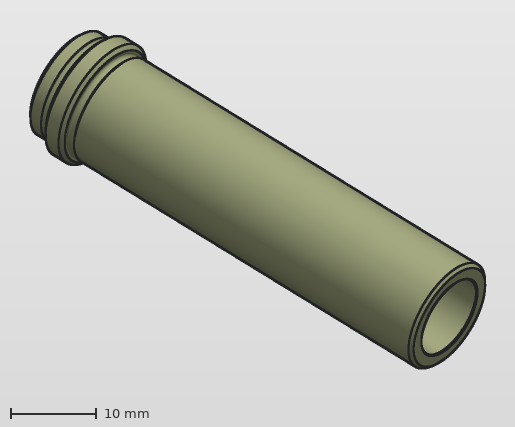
import cadquery as cq

length = 58.0
body_radius = 14.0 / 2
bore_radius = 10.0 / 2
end_chamfer = 0.45
end_chamfer_length = 0.4
bore_chamfer = 0.1

collar_radius = 16.0 / 2
collar_start = 3.1
collar_end = 6.0
collar_chamfer = 0.6
collar_chamfer_length = 0.45
groove_width = 1.05
groove_depth = groove_width / 2


def turned_body():
    """Revolve the outer outline, drawn as (distance from -X end, radius)."""
    chamfer_radius = body_radius - end_chamfer
    collar_edge_radius = collar_radius - collar_chamfer
    groove_floor = body_radius - groove_depth
    outline = (
        cq.Workplane("XY")
        .moveTo(0, 0)
        .lineTo(0, chamfer_radius)
        .lineTo(end_chamfer_length, body_radius)
        .lineTo(collar_start - groove_width, body_radius)
        .threePointArc(
            (collar_start - groove_width / 2, groove_floor),
            (collar_start, body_radius),
        )
        .lineTo(collar_start, collar_edge_radius)
        .lineTo(collar_start + collar_chamfer_length, collar_radius)
        .lineTo(collar_end - collar_chamfer_length, collar_radius)
        .lineTo(collar_end, collar_edge_radius)
        .lineTo(collar_end, body_radius)
        .threePointArc(
            (collar_end + groove_width / 2, groove_floor),
            (collar_end + groove_width, body_radius),
        )
        .lineTo(length - end_chamfer_length, body_radius)
        .lineTo(length, chamfer_radius)
        .lineTo(length, 0)
        .close()
    )
    return outline.revolve(360, (0, 0, 0), (1, 0, 0))


def through_bore():
    """Make the cutter for the bore, widened by a small chamfer at both ends."""
    mouth_radius = bore_radius + bore_chamfer
    outline = (
        cq.Workplane("XY")
        .moveTo(0, 0)
        .lineTo(0, mouth_radius)
        .lineTo(bore_chamfer, bore_radius)
        .lineTo(length - bore_chamfer, bore_radius)
        .lineTo(length, mouth_radius)
        .lineTo(length, 0)
        .close()
    )
    return outline.revolve(360, (0, 0, 0), (1, 0, 0))


result = turned_body().cut(through_bore()).translate((-length / 2, 0, 0))